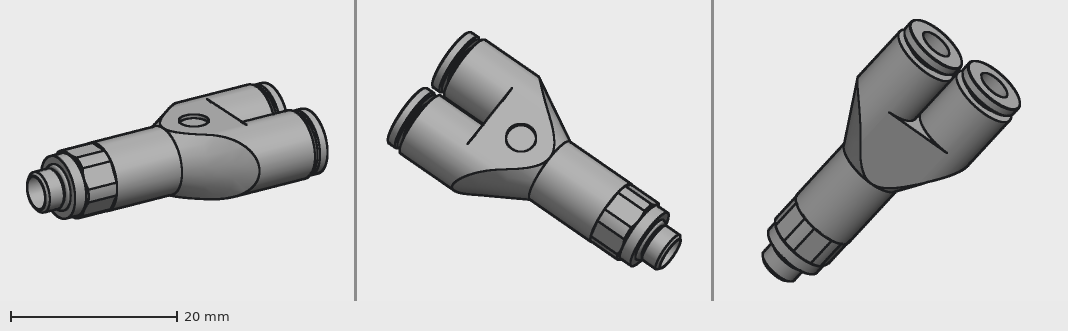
import cadquery as cq
import math

length = 36.07
width = 17.5
height = 8.5
body_radius = height / 2
branch_offset = width / 2 - body_radius

thread_chamfer = 0.35
thread_top = 2.35
seal_start = 2.67
washer_start = 3.1
hex_start = 4.65
stem_start = 8.85
shoulder_start = 18.05
shoulder_end = 26.22
web_end = 27.05
branch_end = 34.1
collar_start = 34.75

thread_radius = 2.52
thread_tip_radius = 2.13
thread_neck_radius = 2.25
seal_radius = 2.9
seal_rounding = 0.4
washer_radius = 3.9

hex_flats = 8.0
hex_corner_radius = 4.22
hex_chamfer_length = 0.18

collar_radius = 4.05
collar_neck_radius = 2.6
collar_inner_chamfer = 0.2
collar_outer_chamfer = 0.07

recess_y = 22.35
recess_radius = 1.8
recess_depth = 0.5

bore_radius = 2.02


def cylinder(radius, start, end, x=0):
    """Cylinder parallel to Y, from y = start to y = end."""
    return (
        cq.Workplane("XZ", origin=(x, start, 0))
        .circle(radius)
        .extrude(start - end)
    )


def revolved(points):
    """Solid turned about the Y axis from (radius, y) points, closed along the axis."""
    outline = [(0, points[0][1])] + points + [(0, points[-1][1])]
    return cq.Workplane("XY").polyline(outline).close().revolve(360, (0, 0), (0, 1))


def threaded_end():
    thread = revolved([
        (thread_tip_radius, 0),
        (thread_radius, thread_chamfer),
        (thread_radius, thread_top),
        (thread_neck_radius, seal_start),
    ])
    seal = cylinder(seal_radius, seal_start, washer_start).faces("<Y").edges().fillet(seal_rounding)
    washer = cylinder(washer_radius, washer_start, hex_start)
    return thread.union(seal).union(washer)


def hexagon():
    corner_diameter = hex_flats / math.cos(math.pi / 6)
    prism = (
        cq.Workplane("XZ", origin=(0, hex_start, 0))
        .polygon(6, corner_diameter)
        .extrude(hex_start - stem_start)
    )
    envelope = revolved([
        (hex_flats / 2, hex_start),
        (hex_corner_radius, hex_start + hex_chamfer_length),
        (hex_corner_radius, stem_start),
    ])
    return prism.intersect(envelope)


def branches_and_web():
    """Two parallel tubes joined by a flat web, trimmed by a cone that widens from the stem."""
    web = cq.Workplane("XY").box(
        2 * branch_offset, web_end - shoulder_start, height
    ).translate((0, (shoulder_start + web_end) / 2, 0))
    for x in (-branch_offset, branch_offset):
        web = web.union(cylinder(body_radius, shoulder_start, branch_end, x))
    cone = revolved([
        (body_radius, shoulder_start),
        (width / 2, shoulder_end),
        (width / 2, branch_end),
    ])
    return web.intersect(cone)


def collar(x):
    neck = cylinder(collar_neck_radius, branch_end, collar_start, x)
    flange = (
        cylinder(collar_radius, collar_start, length, x)
        .faces("<Y").edges().chamfer(collar_inner_chamfer)
        .faces(">Y").edges().chamfer(collar_outer_chamfer)
    )
    return neck.union(flange)


def passage(x):
    """Bore from the threaded end that bends into one branch and leaves through its collar."""
    path = (
        cq.Workplane("XY")
        .moveTo(0, 0)
        .lineTo(0, shoulder_start)
        .lineTo(x, shoulder_end)
        .lineTo(x, length)
    )
    return cq.Workplane("XZ").circle(bore_radius).sweep(path, transition="right")


stem = cylinder(body_radius, stem_start, shoulder_start)
result = threaded_end().union(hexagon()).union(stem).union(branches_and_web())
for branch_x in (-branch_offset, branch_offset):
    result = result.union(collar(branch_x))

for branch_x in (-branch_offset, branch_offset):
    result = result.cut(passage(branch_x))

recess = (
    cq.Workplane("XY", origin=(0, recess_y, body_radius))
    .circle(recess_radius)
    .extrude(-recess_depth)
)
result = result.cut(recess)